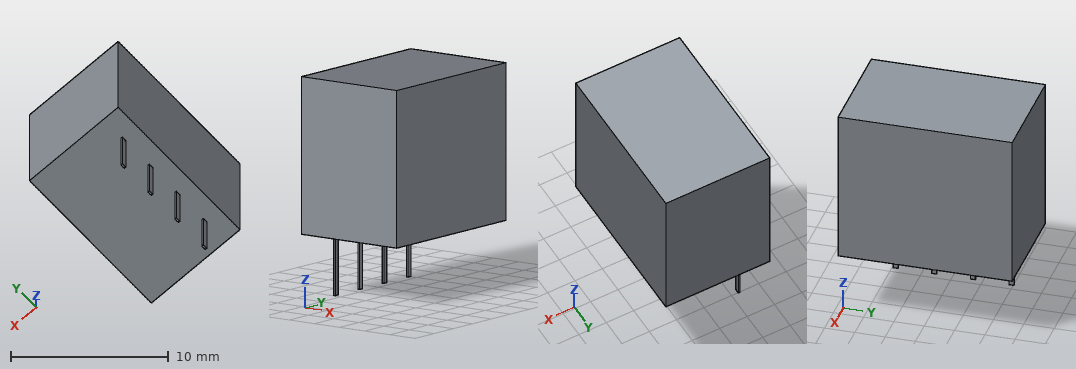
import cadquery as cq

body_width = 7.6
body_length = 11.5
total_height = 14.3
pin_length = 4.1
body_height = total_height - pin_length

pin_count = 4
pin_pitch = 2.55
pin_thickness = 0.13
pin_width = 0.33
pin_inset = 1.26
row_offset = 0.06
pin_x = pin_inset - body_width / 2

body = cq.Workplane("XY").box(body_width, body_length, body_height, centered=(True, True, False))

pins = (
    cq.Workplane("XY")
    .center(pin_x, row_offset)
    .rarray(0.15, pin_pitch, 1, pin_count)
    .rect(pin_thickness, pin_width)
    .extrude(-pin_length)
)

result = body.union(pins)